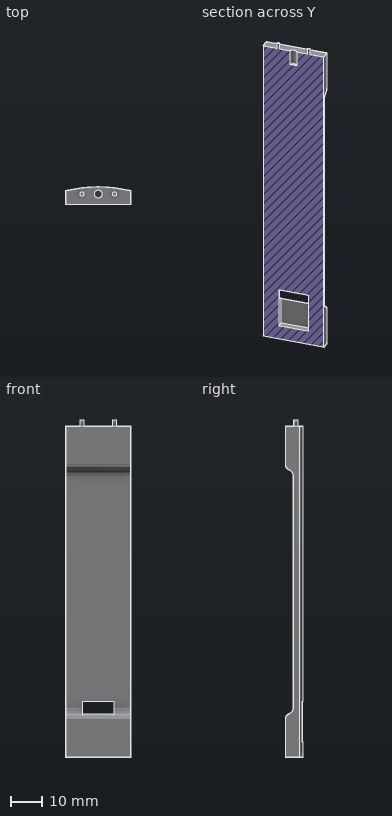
import cadquery as cq
import math

width = 21.0
thickness = 5.75
body_height = 106.8
crown_rise = 1.25

web_thickness = 3.25
pad_height = 12.3
ramp_radius = 2.0

pocket_floor_y = 1.0
pocket_width = 10.0
pocket_bottom = 5.0
pocket_top = 18.0

pin_diameter = 1.4
pin_height = 2.0
pin_spacing = 10.5
hole_diameter = 2.5
hole_depth = 5.0
hole_line_from_crown = 2.35

recess_depth = thickness - web_thickness
half_recess = recess_depth / 2
ramp_height = 2 * math.sqrt(2 * ramp_radius * half_recess - half_recess**2)
side_depth = thickness - crown_rise
hole_line_y = thickness - hole_line_from_crown


def make_arched_bar():
    """Bar of constant section with a flat front and an arched back."""
    return (
        cq.Workplane("XY")
        .moveTo(-width / 2, 0)
        .lineTo(width / 2, 0)
        .lineTo(width / 2, side_depth)
        .threePointArc((0, thickness), (-width / 2, side_depth))
        .close()
        .extrude(body_height)
    )


def make_side_outline():
    """Side outline, full width: pads joined to the web by S-curves of two equal tangent arcs."""
    upper_pad_edge = body_height - pad_height
    return (
        cq.Workplane("YZ", origin=(-width / 2, 0, 0))
        .moveTo(thickness, 0)
        .lineTo(0, 0)
        .lineTo(0, pad_height)
        .tangentArcPoint((half_recess, pad_height + ramp_height / 2), relative=False)
        .tangentArcPoint((recess_depth, pad_height + ramp_height), relative=False)
        .lineTo(recess_depth, upper_pad_edge - ramp_height)
        .tangentArcPoint((half_recess, upper_pad_edge - ramp_height / 2), relative=False)
        .tangentArcPoint((0, upper_pad_edge), relative=False)
        .lineTo(0, body_height)
        .lineTo(thickness, body_height)
        .close()
        .extrude(width)
    )


def make_back_pocket():
    """Rectangular pocket from the back, deep enough to open through the recessed front face."""
    return (
        cq.Workplane("XY", origin=(0, pocket_floor_y, pocket_bottom))
        .box(
            pocket_width,
            thickness - pocket_floor_y,
            pocket_top - pocket_bottom,
            centered=(True, False, False),
        )
    )


def make_pins():
    """Two locating pins standing on the top end."""
    return (
        cq.Workplane("XY", origin=(0, hole_line_y, body_height))
        .pushPoints([(-pin_spacing / 2, 0), (pin_spacing / 2, 0)])
        .circle(pin_diameter / 2)
        .extrude(pin_height)
    )


def make_hole():
    """Blind hole in the top end, midway between the pins."""
    return (
        cq.Workplane("XY", origin=(0, hole_line_y, body_height))
        .circle(hole_diameter / 2)
        .extrude(-hole_depth)
    )


result = (
    make_arched_bar()
    .intersect(make_side_outline())
    .cut(make_back_pocket())
    .cut(make_hole())
    .union(make_pins())
)